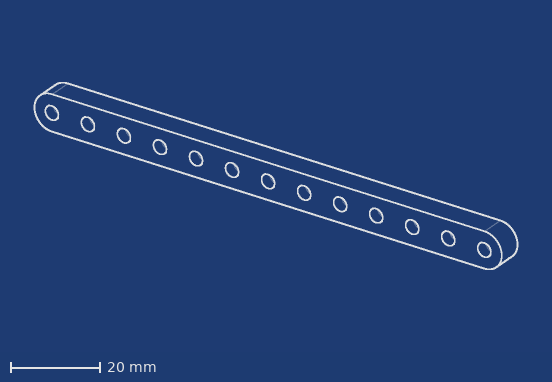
import cadquery as cq

length = 126.9
thickness = 6.3
height = 9.5
hole_diameter = 3.5
hole_count = 13

hole_pitch = (length - height) / (hole_count - 1)

bar = cq.Workplane("XZ").slot2D(length, height).extrude(thickness / 2, both=True)

holes = (
    cq.Workplane("XZ")
    .rarray(hole_pitch, height, hole_count, 1)
    .circle(hole_diameter / 2)
    .extrude(thickness, both=True)
)

result = bar.cut(holes)